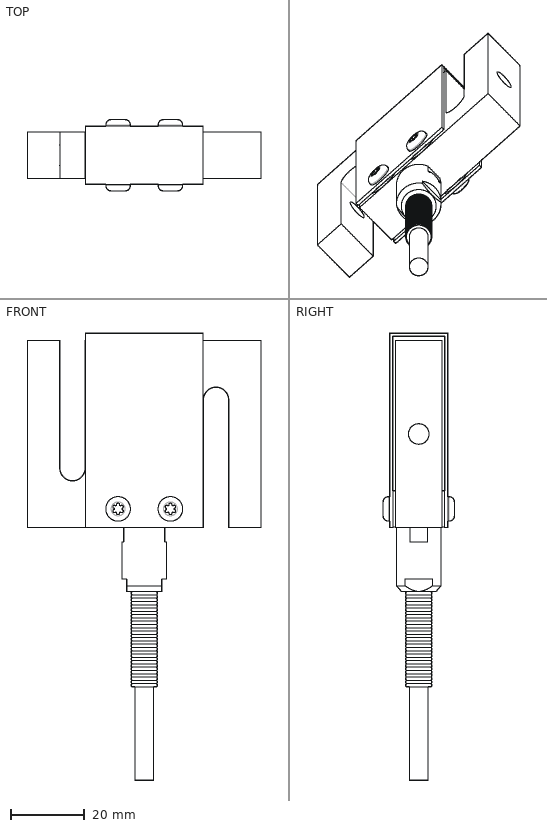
import cadquery as cq
import math


TOTAL_HEIGHT = 121.4

BEAM_LENGTH = 63.5
BEAM_WIDTH = 12.7
BEAM_HEIGHT = 50.9
ARM_LENGTH = 8.9
SLOT_WIDTH = 6.8
SLOT_WEB = 12.7
LOAD_HOLE_DIAMETER = 5.6

COVER_LENGTH = 31.9
COVER_WIDTH = 15.8
COVER_TOP = 52.8
COVER_WALL = 0.8

SCREW_SPACING = 14.2
SCREW_HEIGHT = 5.1
SPACER_DIAMETER = 10.0
HEAD_DIAMETER = 6.7
HEAD_HEIGHT = 1.8
HEAD_RIM_HEIGHT = 0.4
HEAD_FACE_DIAMETER = 3.8
LOBE_COUNT = 6
RECESS_DIAMETER = 3.2
RECESS_CORE_DIAMETER = 2.1
LOBE_DIAMETER = 0.8
RECESS_DEPTH = 0.6
RECESS_TIP_DEPTH = 1.0

GLAND_DIAMETER = 12.1
GLAND_END_DIAMETER = 9.5
GLAND_LENGTH = 17.4
GLAND_CHAMFER_HEIGHT = 1.6
UPPER_FLAT_DISTANCE = 11.2
UPPER_FLAT_HEIGHT = 3.9
LOWER_FLAT_DISTANCE = 9.6
LOWER_FLAT_HEIGHT = 3.4

SLEEVE_DIAMETER = 7.2
SLEEVE_LENGTH = 25.9
RIB_COUNT = 29
RIB_DEPTH = 0.2
CABLE_DIAMETER = 5.1
CABLE_BOTTOM = COVER_TOP - TOTAL_HEIGHT


def make_beam():
    """Block with a slot open at the top left and its half-turn copy open at the bottom right."""
    beam = cq.Workplane("XY").box(BEAM_LENGTH, BEAM_WIDTH, BEAM_HEIGHT, centered=(True, True, False))

    slot_radius = SLOT_WIDTH / 2
    slot_x = BEAM_LENGTH / 2 - ARM_LENGTH - slot_radius
    round_end_z = SLOT_WEB + slot_radius
    slot = (
        cq.Workplane("XZ", origin=(0, BEAM_WIDTH / 2, 0))
        .moveTo(-slot_x - slot_radius, BEAM_HEIGHT)
        .lineTo(-slot_x - slot_radius, round_end_z)
        .threePointArc((-slot_x, SLOT_WEB), (-slot_x + slot_radius, round_end_z))
        .lineTo(-slot_x + slot_radius, BEAM_HEIGHT)
        .close()
        .extrude(BEAM_WIDTH)
    )
    beam_middle = (0, 0, BEAM_HEIGHT / 2)
    beam_middle_rear = (0, 1, BEAM_HEIGHT / 2)
    beam = beam.cut(slot).cut(slot.rotate(beam_middle, beam_middle_rear, 180))

    for arm_start in (-BEAM_LENGTH / 2, BEAM_LENGTH / 2 - ARM_LENGTH):
        hole = (
            cq.Workplane("YZ", origin=(arm_start, 0, BEAM_HEIGHT / 2))
            .circle(LOAD_HOLE_DIAMETER / 2)
            .extrude(ARM_LENGTH)
        )
        beam = beam.cut(hole)
    return beam


def make_cover():
    """Channel open at the bottom and at both ends."""
    shell = cq.Workplane("XY").box(COVER_LENGTH, COVER_WIDTH, COVER_TOP, centered=(True, True, False))
    inside = cq.Workplane("XY").box(
        COVER_LENGTH,
        COVER_WIDTH - 2 * COVER_WALL,
        COVER_TOP - COVER_WALL,
        centered=(True, True, False),
    )
    return shell.cut(inside)


def make_recess():
    """Six-lobed drive recess with a conical floor, sunk along -Z from Z = 0."""
    full_depth = RECESS_DEPTH + RECESS_TIP_DEPTH
    star = cq.Workplane("XY").circle(RECESS_CORE_DIAMETER / 2).extrude(-full_depth)
    lobes = (
        cq.Workplane("XY")
        .polarArray((RECESS_DIAMETER - LOBE_DIAMETER) / 2, 90, 360, LOBE_COUNT)
        .circle(LOBE_DIAMETER / 2)
        .extrude(-full_depth)
    )
    plug_radius = HEAD_FACE_DIAMETER / 2
    pointed_plug = (
        cq.Workplane("XZ")
        .polyline([
            (0, 0),
            (plug_radius, 0),
            (plug_radius, -RECESS_DEPTH),
            (0, -full_depth),
        ])
        .close()
        .revolve(360, (0, 0), (0, 1))
    )
    return star.union(lobes).intersect(pointed_plug)


def make_screw():
    """Domed head and the spacer below it; Z = 0 is the beam face and the head points along +Z."""
    head_base = (COVER_WIDTH - BEAM_WIDTH) / 2
    head_top = head_base + HEAD_HEIGHT
    rim_radius = HEAD_DIAMETER / 2
    face_radius = HEAD_FACE_DIAMETER / 2
    dome_height = HEAD_HEIGHT - HEAD_RIM_HEIGHT
    bulge_point = (
        face_radius + (rim_radius - face_radius) * math.sin(math.pi / 4),
        head_base + HEAD_RIM_HEIGHT + dome_height * math.sin(math.pi / 4),
    )
    head = (
        cq.Workplane("XZ")
        .moveTo(0, head_base)
        .lineTo(rim_radius, head_base)
        .lineTo(rim_radius, head_base + HEAD_RIM_HEIGHT)
        .threePointArc(bulge_point, (face_radius, head_top))
        .lineTo(0, head_top)
        .close()
        .revolve(360, (0, 0), (0, 1))
    )
    spacer = cq.Workplane("XY").circle(SPACER_DIAMETER / 2).extrude(head_base - COVER_WALL)
    recess = make_recess().translate((0, 0, head_top))
    return head.cut(recess), spacer


def make_sensor():
    """Beam, cover and the four cover screws as one body."""
    sensor = make_beam().union(make_cover())
    for part in make_screw():
        front = part.rotate((0, 0, 0), (1, 0, 0), 90).translate((0, -BEAM_WIDTH / 2, SCREW_HEIGHT))
        for x in (-SCREW_SPACING / 2, SCREW_SPACING / 2):
            placed = front.translate((x, 0, 0))
            sensor = sensor.union(placed).union(placed.mirror("XZ"))
    return sensor


def side_flats(distance, z_bottom, height):
    """Cutter for everything outside two flats that face -X and +X, over the given height."""
    ring = cq.Workplane("XY", origin=(0, 0, z_bottom)).rect(2 * GLAND_DIAMETER, 2 * GLAND_DIAMETER)
    return ring.rect(distance, 2 * GLAND_DIAMETER).extrude(height)


def make_gland():
    """Round gland with a chamfered lower end and a pair of flats at each end."""
    radius = GLAND_DIAMETER / 2
    gland = (
        cq.Workplane("XZ")
        .polyline([
            (0, 0),
            (radius, 0),
            (radius, GLAND_CHAMFER_HEIGHT - GLAND_LENGTH),
            (GLAND_END_DIAMETER / 2, -GLAND_LENGTH),
            (0, -GLAND_LENGTH),
        ])
        .close()
        .revolve(360, (0, 0), (0, 1))
    )
    gland = gland.cut(side_flats(UPPER_FLAT_DISTANCE, -UPPER_FLAT_HEIGHT, UPPER_FLAT_HEIGHT))
    return gland.cut(side_flats(LOWER_FLAT_DISTANCE, -GLAND_LENGTH, LOWER_FLAT_HEIGHT))


def make_sleeve():
    """Sleeve with rounded ribs stacked along its whole length."""
    crest_radius = SLEEVE_DIAMETER / 2
    root_radius = crest_radius - RIB_DEPTH
    rib_pitch = SLEEVE_LENGTH / RIB_COUNT
    profile = cq.Workplane("XZ").moveTo(0, -GLAND_LENGTH).lineTo(root_radius, -GLAND_LENGTH)
    for rib in range(RIB_COUNT):
        rib_top = -GLAND_LENGTH - rib * rib_pitch
        profile = profile.threePointArc(
            (crest_radius, rib_top - rib_pitch / 2),
            (root_radius, rib_top - rib_pitch),
        )
    return profile.lineTo(0, -GLAND_LENGTH - SLEEVE_LENGTH).close().revolve(360, (0, 0), (0, 1))


def make_cable_assembly():
    """Gland, ribbed sleeve and cable as one body that meets the underside of the beam."""
    sleeve_bottom = -GLAND_LENGTH - SLEEVE_LENGTH
    cable = (
        cq.Workplane("XY", origin=(0, 0, CABLE_BOTTOM))
        .circle(CABLE_DIAMETER / 2)
        .extrude(sleeve_bottom - CABLE_BOTTOM)
    )
    return make_gland().union(make_sleeve()).union(cable)


sensor = make_sensor()
cable_assembly = make_cable_assembly()

result = cq.Compound.makeCompound([sensor.val(), cable_assembly.val()])